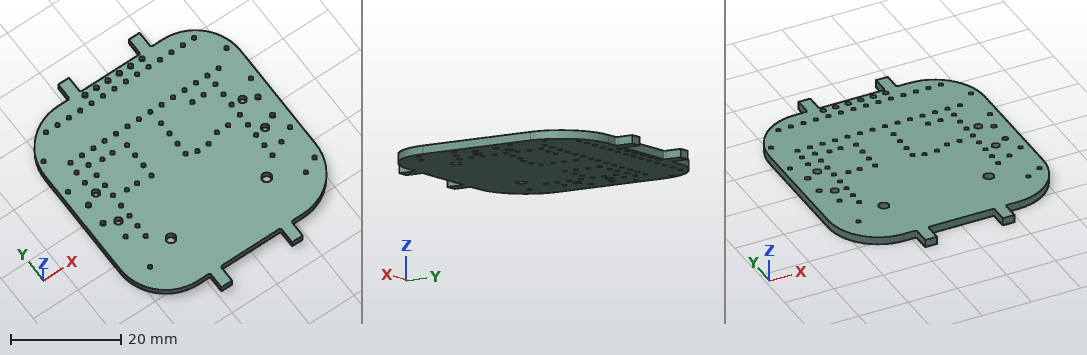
import cadquery as cq

board_side = 43.7
board_thickness = 1.6
corner_radius = 10.15

overall_length = 50.8
tab_width = 2.4
tab_offset = 7.85
tab_root_radius = 0.35

pin_diameter = 0.8
terminal_diameter = 1.0
post_diameter = 1.5
mounting_diameter = 2.0

pin_pitch = 2.55
lead_span = 7.6

header_row_pins = 14
header_row_top_y = 18.8
terminal_count = 6
terminal_row_y = 20.85

side_column_pins = 8
side_column_x = 14.1
inner_column_pins = 4
inner_column_left_x = -6.1
inner_column_right_x = inner_column_left_x + lead_span
inner_column_center_y = 4.3

component_row_y = 8.4
component_tops = [
    (-11.45, component_row_y),
    (-9.15, component_row_y),
    (8.65, component_row_y),
    (11.2, component_row_y),
    (-20.3, 14.2),
    (20.05, 13.7),
    (20.05, -6.1),
    (-17.1, -6.85),
    (17.0, -7.6),
]

side_connector_x = -16.75
side_connector_center_y = 7.6
center_connector_x = 4.85
center_connector_y = -0.25

post_x = 16.35
post_y = 3.5
side_terminal_x = 18.9
side_terminal_y = 2.3
mounting_x = 10.65
mounting_y = -11.95


def row(center_x, y, count):
    """Points at pin pitch along X, centred on center_x."""
    first_x = center_x - pin_pitch * (count - 1) / 2
    return [(first_x + pin_pitch * i, y) for i in range(count)]


def column(x, center_y, count):
    """Points at pin pitch along Y, centred on center_y."""
    return [(x, y) for y, _ in row(center_y, x, count)]


def four_corners(x, y):
    """Points mirrored about both centre planes."""
    return [(sx * x, sy * y) for sx in (-1, 1) for sy in (-1, 1)]


def make_board():
    """Rounded plate with two tabs on each Y edge, filleted at their roots."""
    plate = (
        cq.Workplane("XY")
        .rect(board_side, board_side)
        .extrude(board_thickness)
        .edges("|Z")
        .fillet(corner_radius)
    )
    tabs = (
        cq.Workplane("XY")
        .pushPoints([(-tab_offset, 0), (tab_offset, 0)])
        .rect(tab_width, overall_length)
        .extrude(board_thickness)
    )
    board = plate.union(tabs)
    root_box_margin = 0.5
    for side in (-1, 1):
        edge_y = side * board_side / 2
        roots = cq.selectors.BoxSelector(
            (-tab_offset - tab_width, edge_y - root_box_margin, -root_box_margin),
            (tab_offset + tab_width, edge_y + root_box_margin, board_thickness + root_box_margin),
        )
        board = board.edges("|Z").edges(roots).fillet(tab_root_radius)
    return board


def drill(board, points, diameter):
    """Through holes at the given points."""
    holes = cq.Workplane("XY").pushPoints(points).circle(diameter / 2).extrude(board_thickness)
    return board.cut(holes)


def pin_points():
    """All component and header pin positions."""
    points = row(0, header_row_top_y, header_row_pins)
    points += row(0, header_row_top_y - lead_span, header_row_pins)
    for x in (-side_column_x, side_column_x):
        points += column(x, 0, side_column_pins)
    for x in (inner_column_left_x, inner_column_right_x):
        points += column(x, inner_column_center_y, inner_column_pins)
    points += column(side_connector_x, side_connector_center_y, 2)
    points += row(center_connector_x, center_connector_y, 2)
    for x, top_y in component_tops:
        points += [(x, top_y), (x, top_y - lead_span)]
    return points


terminal_points = row(0, terminal_row_y, terminal_count) + four_corners(side_terminal_x, side_terminal_y)
mounting_points = [(-mounting_x, mounting_y), (mounting_x, mounting_y)]

result = make_board()
result = drill(result, pin_points(), pin_diameter)
result = drill(result, terminal_points, terminal_diameter)
result = drill(result, four_corners(post_x, post_y), post_diameter)
result = drill(result, mounting_points, mounting_diameter)